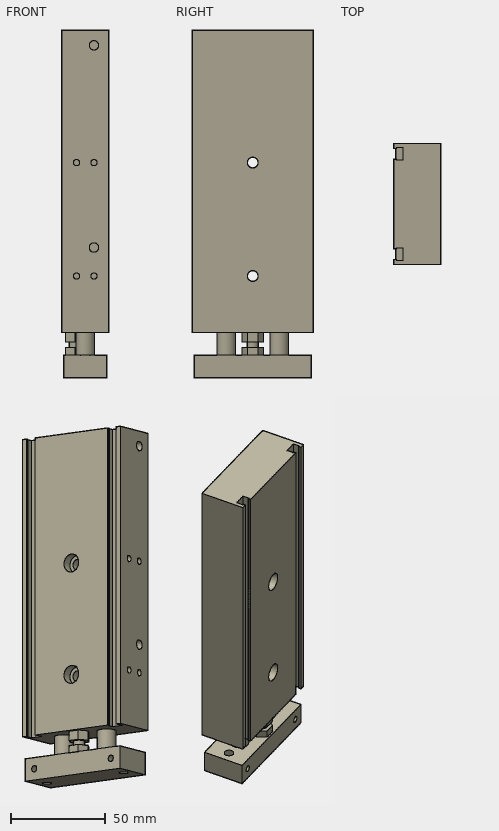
import cadquery as cq

TOTAL_HEIGHT = 184.0
HOUSING_X = 25.0
HOUSING_Y = 64.0
HOUSING_HEIGHT = 160.0
HOUSING_BASE = TOTAL_HEIGHT - HOUSING_HEIGHT
CENTER_X = HOUSING_X / 2
CENTER_Y = HOUSING_Y / 2

SLOT_INSET = 5.5
SLOT_MOUTH = 5.5
SLOT_WIDTH = 6.6
SLOT_LIP = 1.5
SLOT_DEPTH = 5.0

MOUNT_HEIGHTS = [HOUSING_BASE + 30.0, HOUSING_BASE + 90.0]
MOUNT_DIAMETER = 5.5
COUNTERBORE_DIAMETER = 9.5
COUNTERBORE_DEPTH = 5.3

SIDE_HOLE_DIAMETER = 3.3
SIDE_HOLE_DEPTH = 5.0
SIDE_HOLE_X = [8.0, 17.1]
PORT_DIAMETER = 5.0
PORT_DEPTH = 8.0
PORT_X = SIDE_HOLE_X[1]
PORT_HEIGHTS = [HOUSING_BASE + 45.0, TOTAL_HEIGHT - 8.1]

PLATE_X = 23.0
PLATE_Y = 62.0
PLATE_HEIGHT = 12.1
ROD_DIAMETER = 10.0
ROD_SPACING = 28.0
ROD_LENGTH = HOUSING_BASE - PLATE_HEIGHT
PLATE_HOLE_SPACING = 50.0
PLATE_HOLE_DIAMETER = 5.0
FACE_HOLE_DIAMETER = 3.3
FACE_HOLE_DEPTH = 8.0

ADJUSTER_X = 7.0
ADJUSTER_DIAMETER = 6.0
HEX_ACROSS_FLATS = 10.0
NUT_HEIGHT = 4.0
HEAD_HEIGHT = 5.0


def symmetric_pair(spacing):
    """Return the two Y positions a given distance apart about the center."""
    return [CENTER_Y - spacing / 2, CENTER_Y + spacing / 2]


def bore_x(start_x, y, z, diameter, depth):
    """Return a cylinder along +X for cutting a hole."""
    return cq.Workplane(cq.Solid.makeCylinder(
        diameter / 2, depth, cq.Vector(start_x, y, z), cq.Vector(1, 0, 0)))


def bore_y(x, z, diameter, depth):
    """Return a cylinder along +Y that starts at the -Y face of the housing."""
    return cq.Workplane(cq.Solid.makeCylinder(
        diameter / 2, depth, cq.Vector(x, 0, z), cq.Vector(0, 1, 0)))


def make_t_slot(y):
    """Return the T-shaped channel that runs the full housing height."""
    anchor = (False, True, False)
    base = cq.Workplane("XY", origin=(0, y, HOUSING_BASE))
    mouth = base.box(SLOT_DEPTH, SLOT_MOUTH, HOUSING_HEIGHT, centered=anchor)
    channel = (
        base.center(SLOT_LIP, 0)
        .box(SLOT_DEPTH - SLOT_LIP, SLOT_WIDTH, HOUSING_HEIGHT, centered=anchor)
    )
    return mouth.union(channel)


def make_housing():
    """Build the cylinder housing with its slots, mounting holes and ports."""
    housing = (
        cq.Workplane("XY", origin=(0, 0, HOUSING_BASE))
        .box(HOUSING_X, HOUSING_Y, HOUSING_HEIGHT, centered=False)
    )
    for y in symmetric_pair(HOUSING_Y - 2 * SLOT_INSET):
        housing = housing.cut(make_t_slot(y))
    for z in MOUNT_HEIGHTS:
        housing = housing.cut(bore_x(0, CENTER_Y, z, MOUNT_DIAMETER, HOUSING_X))
        housing = housing.cut(bore_x(0, CENTER_Y, z, COUNTERBORE_DIAMETER, COUNTERBORE_DEPTH))
        for x in SIDE_HOLE_X:
            housing = housing.cut(bore_y(x, z, SIDE_HOLE_DIAMETER, SIDE_HOLE_DEPTH))
    for z in PORT_HEIGHTS:
        housing = housing.cut(bore_y(PORT_X, z, PORT_DIAMETER, PORT_DEPTH))
    return housing


def make_end_plate():
    """Build the end plate together with the guide rods standing on it."""
    plate = (
        cq.Workplane("XY", origin=(CENTER_X, CENTER_Y, 0))
        .box(PLATE_X, PLATE_Y, PLATE_HEIGHT, centered=(True, True, False))
    )
    plate = (
        plate.faces(">Z").workplane(origin=(CENTER_X, CENTER_Y, PLATE_HEIGHT))
        .rarray(1.8, PLATE_HOLE_SPACING, 1, 2).hole(PLATE_HOLE_DIAMETER)
    )
    plate_face_x = CENTER_X - PLATE_X / 2
    for y in symmetric_pair(PLATE_HOLE_SPACING):
        plate = plate.cut(
            bore_x(plate_face_x, y, PLATE_HEIGHT / 2, FACE_HOLE_DIAMETER, FACE_HOLE_DEPTH)
        )
    rods = (
        cq.Workplane("XY", origin=(CENTER_X, CENTER_Y, PLATE_HEIGHT))
        .rarray(1.8, ROD_SPACING, 1, 2).circle(ROD_DIAMETER / 2).extrude(ROD_LENGTH)
    )
    return plate.union(rods)


def make_hexagon(base_z, height):
    """Return a hexagonal prism with two flats facing along X."""
    return (
        cq.Workplane("XY", origin=(ADJUSTER_X, CENTER_Y, base_z))
        .polygon(6, HEX_ACROSS_FLATS, circumscribed=True).extrude(height)
    )


def make_adjuster():
    """Build the adjuster screw with its lock nut and hexagonal head."""
    shank = (
        cq.Workplane("XY", origin=(ADJUSTER_X, CENTER_Y, PLATE_HEIGHT))
        .circle(ADJUSTER_DIAMETER / 2).extrude(ROD_LENGTH)
    )
    lock_nut = make_hexagon(PLATE_HEIGHT, NUT_HEIGHT)
    head = make_hexagon(HOUSING_BASE - HEAD_HEIGHT, HEAD_HEIGHT)
    return shank.union(lock_nut).union(head)


housing = make_housing()
end_plate = make_end_plate()
adjuster = make_adjuster()

result = cq.Compound.makeCompound([housing.val(), end_plate.val(), adjuster.val()])